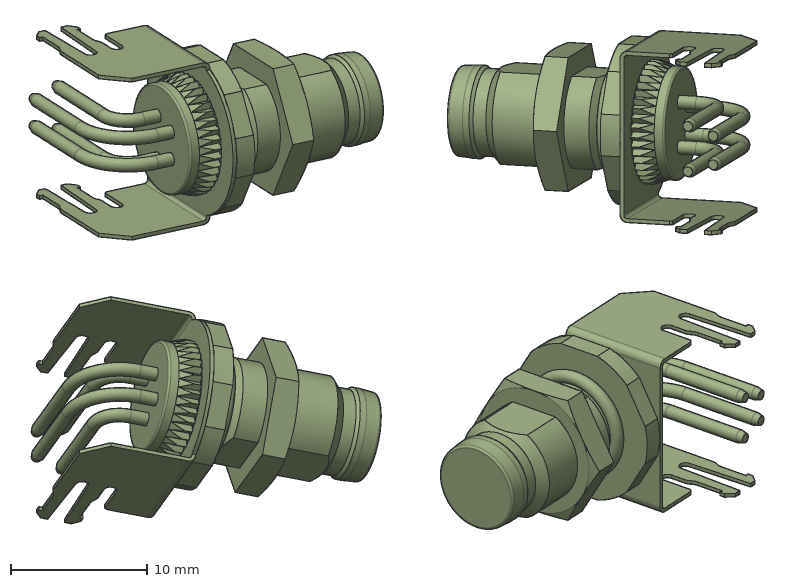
import cadquery as cq
import math


TIP_Y = 14.21
TIP_ROUND = 0.18
TIP_DIA = 6.7
COLLAR_DIA = 6.9
COLLAR_TAPER_Y = 12.98
COLLAR_REAR_Y = 12.48
NECK_DIA = 6.5
NECK_FRONT_Y = 12.22
SHOULDER_FRONT_Y = 11.25
SHOULDER_REAR_Y = 10.53
BODY_DIA = 7.93
BODY_FLATS = 6.9
BODY_REAR_Y = 3.1
SEAT_FRONT_Y = 2.67
SEAT_DIA = 6.7

NUT_FLATS = 10.0
NUT_FRONT_Y = 7.05
NUT_REAR_Y = 5.03
NUT_CHAMFER = 0.25

RING_SECTION_DIA = 1.0
RING_SINK = 0.011
FLANGE_THICKNESS = 1.53
FLANGE_FLATS = 12.02
FLANGE_DIA = 12.48

BARREL_DIA = 8.4
BARREL_REAR_Y = -2.79
BARREL_ROUND = 0.15
KNURL_DIA = 9.19
KNURL_TEETH = 40
KNURL_TAPER_Y = -0.9
KNURL_REAR_Y = -1.99

PIN_DIA = 1.0
PIN_CIRCLE_DIA = 3.55
PIN_TIP_X = -9.48
PIN_CHAMFER_LENGTH = 0.5
PIN_CHAMFER_DEPTH = 0.14
PIN_ROOT_DEPTH = 0.45
PIN_ROOT_Y = BARREL_REAR_Y + PIN_ROOT_DEPTH
INNER_PIN_Z = 1.07
INNER_PIN_Y = -8.13
INNER_BEND_RADIUS = 4.0
OUTER_PIN_Z = 1.7
OUTER_PIN_Y = -6.2
OUTER_BEND_RADIUS = 2.0

SHEET = 0.3
BRACKET_HEIGHT = 12.8
BEND_INNER_RADIUS = 0.27
WEB_ROUND_DIA = 12.38
BARREL_HOLE_DIA = 9.0
BRACKET_LEFT_X = -6.28
LEG_RIGHT_X = 2.33
LEG_END_Y = -8.43
LEG_CHAMFER = 1.78
CORNER_ROUND = 0.18

SLOT_RADIUS = 0.48
SLOT_END_X = -3.15
TINE_HALF_SPAN = 1.74
TINE_STEP = 0.27
TINE_STEP_START_X = -4.85
TINE_STEP_END_X = -5.83
BARB_X = -8.07
BARB_NOSE_X = -8.5
TINE_TIP_X = -9.1
TINE_TIP_HALF_SPAN = 1.2
GAP_TIP_HALF_WIDTH = 0.66


def hex_prism(flats, rear_y, front_y):
    """Hexagonal prism along Y with two of its flats facing up and down."""
    corner_dia = flats / math.cos(math.pi / 6)
    return (
        cq.Workplane("XZ", origin=(0, front_y, 0))
        .polygon(6, corner_dia)
        .extrude(front_y - rear_y)
    )


def cylinder(diameter, rear_y, front_y):
    """Cylinder along Y."""
    return (
        cq.Workplane("XZ", origin=(0, front_y, 0))
        .circle(diameter / 2)
        .extrude(front_y - rear_y)
    )


def turned(points):
    """Solid of revolution about Y from (radius, Y) points."""
    return cq.Workplane("XY").polyline(points).close().revolve(360, (0, 0, 0), (0, 1, 0))


def make_socket():
    """Turned socket from the ring seat to the tip, with two flats along the body."""
    socket = turned([
        (0, 0),
        (SEAT_DIA / 2, 0),
        (SEAT_DIA / 2, SEAT_FRONT_Y),
        (BODY_DIA / 2, BODY_REAR_Y),
        (BODY_DIA / 2, SHOULDER_REAR_Y),
        (NECK_DIA / 2, SHOULDER_FRONT_Y),
        (NECK_DIA / 2, NECK_FRONT_Y),
        (COLLAR_DIA / 2, COLLAR_REAR_Y),
        (COLLAR_DIA / 2, COLLAR_TAPER_Y),
        (TIP_DIA / 2, TIP_Y),
        (0, TIP_Y),
    ])
    socket = socket.faces(">Y").edges().fillet(TIP_ROUND)
    between_flats = cq.Workplane("XY").box(
        BODY_DIA, SHOULDER_FRONT_Y, BODY_FLATS, centered=(True, False, True)
    )
    return socket.intersect(between_flats.union(cylinder(COLLAR_DIA, 0, TIP_Y)))


def make_nut():
    """Hexagon nut with its front corners chamfered."""
    corner_radius = NUT_FLATS / 2 / math.cos(math.pi / 6)
    chamfer_cone = turned([
        (0, NUT_REAR_Y),
        (corner_radius, NUT_REAR_Y),
        (corner_radius, NUT_FRONT_Y - NUT_CHAMFER),
        (NUT_FLATS / 2, NUT_FRONT_Y),
        (0, NUT_FRONT_Y),
    ])
    return hex_prism(NUT_FLATS, NUT_REAR_Y, NUT_FRONT_Y).intersect(chamfer_cone)


def make_sealing_ring():
    """Round-section ring seated in front of the flange."""
    ring_radius = (SEAT_DIA + RING_SECTION_DIA) / 2 - RING_SINK
    ring_y = FLANGE_THICKNESS + RING_SECTION_DIA / 2 - RING_SINK
    section_plane = cq.Plane(origin=(-ring_radius, ring_y, 0), xDir=(1, 0, 0), normal=(0, 0, 1))
    return (
        cq.Workplane(section_plane)
        .circle(RING_SECTION_DIA / 2)
        .revolve(360, (ring_radius, 0, 0), (ring_radius, 1, 0))
    )


def make_flange():
    """Hexagonal flange with its corners turned round."""
    hexagon = hex_prism(FLANGE_FLATS, 0, FLANGE_THICKNESS)
    return hexagon.intersect(cylinder(FLANGE_DIA, 0, FLANGE_THICKNESS))


def make_knurl():
    """Ring of pointed teeth, tapered down to the barrel at the rear."""
    front_y = -SHEET
    tooth_pitch = 2 * math.pi / KNURL_TEETH
    outline = []
    for tooth in range(KNURL_TEETH):
        for radius, angle in (
            (BARREL_DIA / 2, tooth * tooth_pitch),
            (KNURL_DIA / 2, (tooth + 0.5) * tooth_pitch),
        ):
            outline.append((radius * math.cos(angle), radius * math.sin(angle)))
    teeth = (
        cq.Workplane("XZ", origin=(0, front_y, 0))
        .polyline(outline)
        .close()
        .extrude(front_y - KNURL_REAR_Y)
    )
    taper = turned([
        (0, front_y),
        (KNURL_DIA / 2, front_y),
        (KNURL_DIA / 2, KNURL_TAPER_Y),
        (BARREL_DIA / 2, KNURL_REAR_Y),
        (0, KNURL_REAR_Y),
    ])
    return teeth.intersect(taper)


def make_barrel():
    """Barrel that passes through the bracket, rounded at its rear edge."""
    barrel = cylinder(BARREL_DIA, BARREL_REAR_Y, 0)
    return barrel.faces("<Y").edges().fillet(BARREL_ROUND)


def make_pin(z, end_y, bend_radius, root_x):
    """Pin that leaves the barrel along -Y, bends, and runs to its chamfered tip along -X."""
    diagonal = bend_radius * math.sqrt(0.5)
    bend_centre_x = root_x - bend_radius
    bend_centre_y = end_y + bend_radius
    path = (
        cq.Workplane("XY", origin=(0, 0, z))
        .moveTo(root_x, PIN_ROOT_Y)
        .lineTo(root_x, bend_centre_y)
        .threePointArc(
            (bend_centre_x + diagonal, bend_centre_y - diagonal),
            (bend_centre_x, end_y),
        )
        .lineTo(PIN_TIP_X, end_y)
    )
    pin = (
        cq.Workplane("XZ", origin=(root_x, PIN_ROOT_Y, z))
        .circle(PIN_DIA / 2)
        .sweep(path)
    )
    tip_x = PIN_TIP_X + PIN_CHAMFER_LENGTH
    tip_cone = cq.Solid.makeCone(
        PIN_DIA / 2,
        PIN_DIA / 2 - PIN_CHAMFER_DEPTH,
        PIN_CHAMFER_LENGTH,
        cq.Vector(tip_x, end_y, z),
        cq.Vector(-1, 0, 0),
    )
    tip_block = cq.Workplane("XY").box(PIN_CHAMFER_LENGTH, PIN_DIA, PIN_DIA)
    tip_block = tip_block.translate((tip_x - PIN_CHAMFER_LENGTH / 2, end_y, z))
    return pin.cut(tip_block.cut(cq.Workplane(tip_cone)))


def make_connector():
    """Connector with its nut, sealing ring and pins as one solid."""
    connector = make_socket()
    for part in (make_nut(), make_sealing_ring(), make_flange(), make_barrel(), make_knurl()):
        connector = connector.union(part)
    pin_circle_radius = PIN_CIRCLE_DIA / 2
    inner_root_x = math.sqrt(pin_circle_radius**2 - INNER_PIN_Z**2)
    outer_root_x = -math.sqrt(pin_circle_radius**2 - OUTER_PIN_Z**2)
    for side in (-1, 1):
        inner_pin = make_pin(side * INNER_PIN_Z, INNER_PIN_Y, INNER_BEND_RADIUS, inner_root_x)
        outer_pin = make_pin(side * OUTER_PIN_Z, OUTER_PIN_Y, OUTER_BEND_RADIUS, outer_root_x)
        connector = connector.union(inner_pin).union(outer_pin)
    return connector


def bent_bar(depth, height, bend_radius):
    """Bar along X whose two front edges, at its greatest Y, are rounded by the bend radius."""
    return (
        cq.Workplane("XY")
        .box(WEB_ROUND_DIA / 2 - TINE_TIP_X, depth, height, centered=(False, False, True))
        .edges("|X and >Y")
        .fillet(bend_radius)
        .translate((TINE_TIP_X, LEG_END_Y, 0))
    )


def make_channel():
    """U-shaped bent sheet along X, open to -Y."""
    web_inner_depth = -LEG_END_Y - SHEET
    outside = bent_bar(-LEG_END_Y, BRACKET_HEIGHT, BEND_INNER_RADIUS + SHEET)
    inside = bent_bar(web_inner_depth, BRACKET_HEIGHT - 2 * SHEET, BEND_INNER_RADIUS)
    return outside.cut(inside)


def make_leg_outline():
    """Block with the side outline of a leg and its two tines, through the bracket height."""
    tine_mid_y = LEG_END_Y + TINE_HALF_SPAN
    tine_top_y = tine_mid_y + TINE_HALF_SPAN
    slot_top_y = tine_top_y + 2 * SLOT_RADIUS
    slot_centre_x = SLOT_END_X - SLOT_RADIUS
    step_mid_x = (TINE_STEP_START_X + TINE_STEP_END_X) / 2
    step_mid = TINE_HALF_SPAN - TINE_STEP / 2
    step_end = TINE_HALF_SPAN - TINE_STEP
    return (
        cq.Workplane("XY", origin=(0, 0, -BRACKET_HEIGHT / 2))
        .moveTo(LEG_RIGHT_X, 0)
        .lineTo(BRACKET_LEFT_X, 0)
        .lineTo(BRACKET_LEFT_X, slot_top_y + CORNER_ROUND)
        .lineTo(BRACKET_LEFT_X + CORNER_ROUND, slot_top_y)
        .lineTo(slot_centre_x, slot_top_y)
        .threePointArc((SLOT_END_X, slot_top_y - SLOT_RADIUS), (slot_centre_x, tine_top_y))
        .lineTo(TINE_STEP_START_X, tine_top_y)
        .tangentArcPoint((step_mid_x, tine_mid_y + step_mid), relative=False)
        .tangentArcPoint((TINE_STEP_END_X, tine_mid_y + step_end), relative=False)
        .lineTo(BARB_X, tine_mid_y + step_end)
        .lineTo(BARB_X, tine_top_y)
        .lineTo(BARB_NOSE_X, tine_top_y)
        .lineTo(TINE_TIP_X, tine_mid_y + TINE_TIP_HALF_SPAN)
        .lineTo(TINE_TIP_X, tine_mid_y + GAP_TIP_HALF_WIDTH)
        .lineTo(slot_centre_x, tine_mid_y + SLOT_RADIUS)
        .threePointArc((SLOT_END_X, tine_mid_y), (slot_centre_x, tine_mid_y - SLOT_RADIUS))
        .lineTo(TINE_TIP_X, tine_mid_y - GAP_TIP_HALF_WIDTH)
        .lineTo(TINE_TIP_X, tine_mid_y - TINE_TIP_HALF_SPAN)
        .lineTo(BARB_NOSE_X, LEG_END_Y)
        .lineTo(BARB_X, LEG_END_Y)
        .lineTo(BARB_X, tine_mid_y - step_end)
        .lineTo(TINE_STEP_END_X, tine_mid_y - step_end)
        .tangentArcPoint((step_mid_x, tine_mid_y - step_mid), relative=False)
        .tangentArcPoint((TINE_STEP_START_X, LEG_END_Y), relative=False)
        .lineTo(LEG_RIGHT_X - LEG_CHAMFER, LEG_END_Y)
        .lineTo(LEG_RIGHT_X, LEG_END_Y + LEG_CHAMFER)
        .close()
        .extrude(BRACKET_HEIGHT)
    )


def make_bracket():
    """Sheet bracket: a web with a round right-hand side and two folded legs with tines."""
    round_web = cylinder(WEB_ROUND_DIA, -SHEET, 0).intersect(
        cq.Workplane("XY").box(
            WEB_ROUND_DIA / 2, 2 * SHEET, BRACKET_HEIGHT - 2 * (SHEET + BEND_INNER_RADIUS),
            centered=(False, True, True),
        )
    )
    barrel_hole = cylinder(BARREL_HOLE_DIA, -SHEET, 0)
    return make_channel().intersect(make_leg_outline()).union(round_web).cut(barrel_hole)


connector = make_connector()
bracket = make_bracket()
result = cq.Compound.makeCompound([connector.solids().val(), bracket.solids().val()])